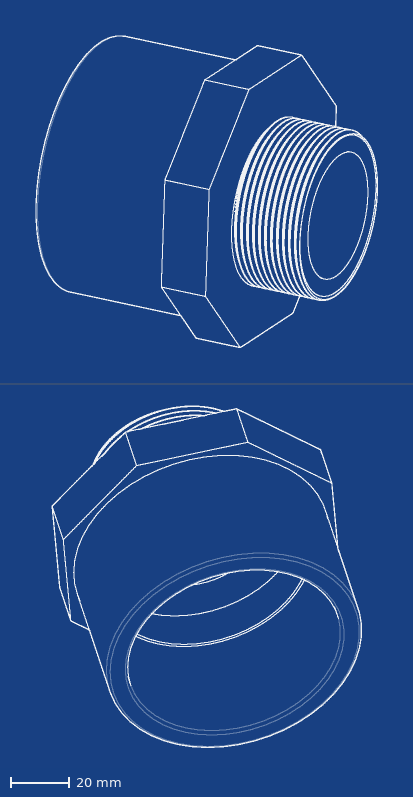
import cadquery as cq
import math

total_length = 94.0
barrel_length = 51.0
nut_width = 17.15
nut_end = barrel_length + nut_width
spigot_length = total_length - nut_end

barrel_diameter = 90.0
socket_mouth_diameter = 75.0
socket_inner_diameter = 73.0
step_depth = 43.95
socket_depth = 58.5
rim_fillet = 1.1
bore_diameter = 44.6

nut_sides = 8
nut_height = 97.45
flat_tilt = 3.9
corner_tilt = 180 / nut_sides - flat_tilt
nut_corner_diameter = nut_height / math.cos(math.radians(corner_tilt))

spigot_diameter = 56.6
thread_diameter = 59.6
thread_turns = 11.2
thread_pitch = spigot_length / thread_turns
spare_turns = 2
ridge_base_width = 1.95
ridge_crest_width = 0.3
ridge_embed = 0.3
crest_offset = 1.4


def cylinder_x(diameter, start, length):
    """Solid cylinder along X."""
    return cq.Workplane("YZ", origin=(start, 0, 0)).circle(diameter / 2).extrude(length)


def make_barrel():
    barrel = cylinder_x(barrel_diameter, 0, barrel_length)
    return barrel.faces("<X").edges().fillet(rim_fillet)


def make_nut():
    return (
        cq.Workplane("YZ", origin=(barrel_length, 0, 0))
        .polygon(nut_sides, nut_corner_diameter)
        .extrude(nut_width)
        .rotate((0, 0, 0), (1, 0, 0), corner_tilt)
    )


def make_socket():
    """Stepped cavity with a rounded mouth."""
    mouth_radius = socket_mouth_diameter / 2
    inner_radius = socket_inner_diameter / 2
    arc_offset = rim_fillet * (1 - math.sqrt(0.5))
    return (
        cq.Workplane("XY")
        .lineTo(0, mouth_radius + rim_fillet)
        .threePointArc((arc_offset, mouth_radius + arc_offset), (rim_fillet, mouth_radius))
        .lineTo(step_depth, mouth_radius)
        .lineTo(step_depth, inner_radius)
        .lineTo(socket_depth, inner_radius)
        .lineTo(socket_depth, 0)
        .close()
        .revolve(360, (0, 0, 0), (1, 0, 0))
    )


def make_fitting():
    spigot = cylinder_x(spigot_diameter, nut_end, spigot_length)
    bore = cylinder_x(bore_diameter, 0, total_length)
    return make_barrel().union(make_nut()).union(spigot).cut(make_socket()).cut(bore)


def make_thread():
    """Helical ridge seated on the spigot and trimmed flush with both of its ends."""
    root_radius = spigot_diameter / 2
    crest_radius = thread_diameter / 2
    start = crest_offset - spare_turns * thread_pitch
    helix_length = spigot_length + 2 * spare_turns * thread_pitch
    flank_slope = (ridge_base_width - ridge_crest_width) / 2 / (crest_radius - root_radius)
    inner_half_width = ridge_base_width / 2 + ridge_embed * flank_slope
    crest_half_width = ridge_crest_width / 2

    helix = cq.Wire.makeHelix(thread_pitch, helix_length, root_radius)
    ridge = (
        cq.Workplane("XZ")
        .moveTo(root_radius - ridge_embed, -inner_half_width)
        .lineTo(crest_radius, -crest_half_width)
        .lineTo(crest_radius, crest_half_width)
        .lineTo(root_radius - ridge_embed, inner_half_width)
        .close()
        .sweep(cq.Workplane(helix), isFrenet=True)
    )
    ridge = ridge.rotate((0, 0, 0), (0, 0, 1), 180).rotate((0, 0, 0), (0, 1, 0), 90)
    ridge = ridge.translate((nut_end + start, 0, 0))

    envelope = cylinder_x(thread_diameter + thread_pitch, nut_end, spigot_length)
    spigot = cylinder_x(spigot_diameter, nut_end - thread_pitch, spigot_length + 2 * thread_pitch)
    return ridge.intersect(envelope).cut(spigot)


fitting = make_fitting()
thread = make_thread()

result = cq.Compound.makeCompound([fitting.val(), *thread.vals()])